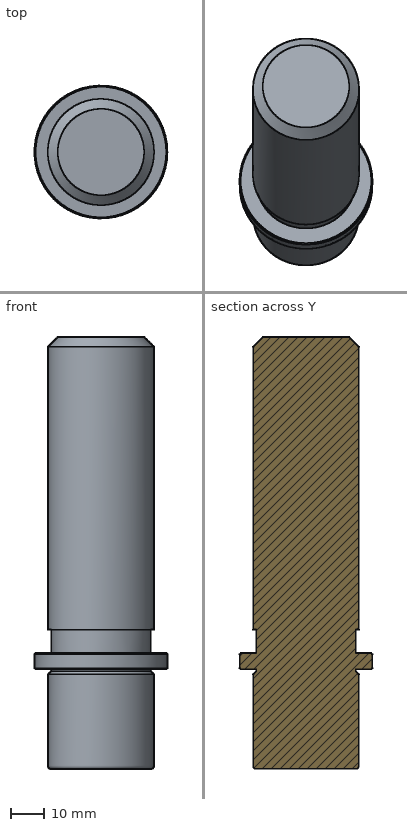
import cadquery as cq

total_height = 130.0
pin_diameter = 32.0
tip_chamfer = 3.0
foot_round = 1.0

collar_diameter = 40.0
collar_bottom = 30.0
collar_thickness = 5.0
collar_chamfer = 0.4

upper_neck_diameter = 30.0
upper_neck_top = 42.0
lower_neck_diameter = 30.0
lower_neck_height = 0.5
shoulder_taper_height = 1.0


def disc(diameter, bottom, top):
    """Solid cylinder on the Z axis between two heights."""
    return cq.Workplane("XY").workplane(offset=bottom).circle(diameter / 2).extrude(top - bottom)


collar_top = collar_bottom + collar_thickness
lower_neck_bottom = collar_bottom - lower_neck_height
shoulder_height = lower_neck_bottom - shoulder_taper_height

foot_radius = pin_diameter / 2
foot = (
    cq.Workplane("XZ")
    .lineTo(foot_radius - foot_round, 0)
    .radiusArc((foot_radius, foot_round), -foot_round)
    .lineTo(foot_radius, shoulder_height)
    .lineTo(lower_neck_diameter / 2, lower_neck_bottom)
    .lineTo(0, lower_neck_bottom)
    .close()
    .revolve(360, (0, 0, 0), (0, 1, 0))
)

lower_neck = disc(lower_neck_diameter, lower_neck_bottom, collar_bottom)
collar = disc(collar_diameter, collar_bottom, collar_top).edges().chamfer(collar_chamfer)
upper_neck = disc(upper_neck_diameter, collar_top, upper_neck_top)

shaft = disc(pin_diameter, upper_neck_top, total_height).faces(">Z").edges().chamfer(tip_chamfer)

result = foot.union(lower_neck).union(collar).union(upper_neck).union(shaft)